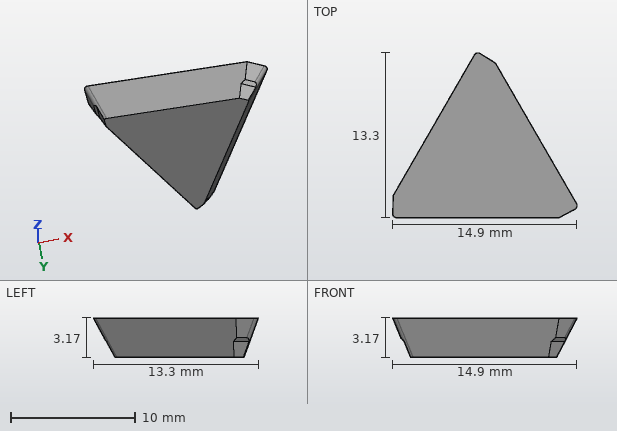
import cadquery as cq
import math

thickness = 3.17
inscribed_radius = 4.76
side_clearance = 20.0
corner_count = 3

flat_start = 6.15
flat_angle = 28.0
flat_clearance = 21.9
nose_radius = 0.37

step_depth = 1.58
step_drop = 0.31
step_inset = 0.27

cutter_reach = 5.95
cutter_overlap = 0.75

flat_slope = math.tan(math.radians(flat_clearance))
triangle_radius = inscribed_radius / math.cos(math.pi / corner_count)


def make_body():
    """Drafted triangle, narrowing downward, with one side facing -Y."""
    corners = []
    for i in range(corner_count):
        angle = math.radians(90 + i * 360 / corner_count)
        corners.append((triangle_radius * math.cos(angle), triangle_radius * math.sin(angle)))
    return (
        cq.Workplane("XY")
        .workplane(offset=thickness)
        .polyline(corners)
        .close()
        .extrude(-thickness, taper=side_clearance)
    )


def corner_cutter(profile):
    """Prism across the +X corner; the profile is (outward, up) from the flat's top edge."""
    angle = math.radians(flat_angle)
    outward = (math.sin(angle), -math.cos(angle), 0)
    along = (-math.cos(angle), -math.sin(angle), 0)
    plane = cq.Plane(origin=(flat_start, -inscribed_radius, thickness), xDir=outward, normal=along)
    return cq.Workplane(plane).polyline(profile).close().extrude(cutter_reach, both=True)


def cut_corners(body, cutter):
    for i in range(corner_count):
        body = body.cut(cutter.rotate((0, 0, 0), (0, 0, 1), i * 360 / corner_count))
    return body


def nose_edges(body):
    """Steep edges furthest from the axis: one at the tip of each corner."""
    steep = [e for e in body.edges().vals() if e.BoundingBox().zlen > thickness / 2]
    steep.sort(key=lambda e: math.hypot(e.Center().x, e.Center().y), reverse=True)
    return steep[:corner_count]


cutter_bottom = thickness + cutter_overlap
flat_profile = [
    (flat_slope * cutter_overlap, cutter_overlap),
    (-flat_slope * cutter_bottom, -cutter_bottom),
    (cutter_reach, -cutter_bottom),
    (cutter_reach, cutter_overlap),
]

step_outer = -flat_slope * step_depth
step_inner = step_outer - step_inset
step_bottom = step_depth + step_drop
step_profile = [
    (step_outer + step_depth * step_inset / step_drop, 0),
    (step_inner, -step_bottom),
    (step_inner - flat_slope * (cutter_bottom - step_bottom), -cutter_bottom),
    (cutter_reach, -cutter_bottom),
    (cutter_reach, 0),
]

body = cut_corners(make_body(), corner_cutter(flat_profile))
body = body.newObject(nose_edges(body)).fillet(nose_radius)
result = cut_corners(body, corner_cutter(step_profile))